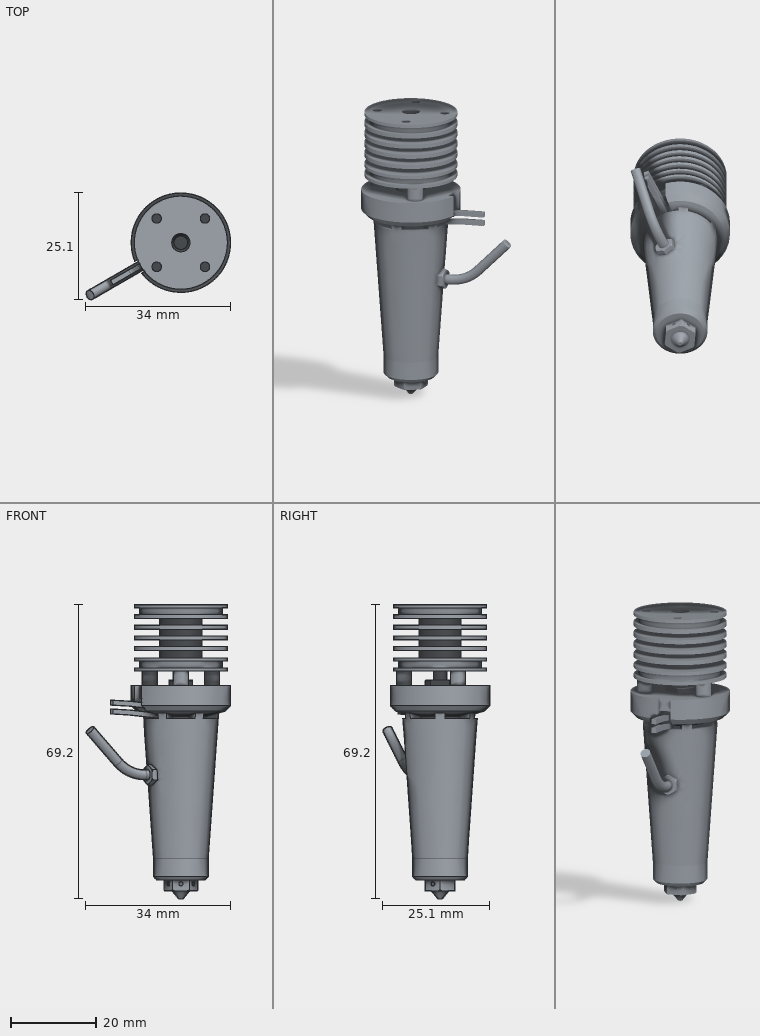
import cadquery as cq
import math

height = 69.25

tip_radius = 0.5
nozzle_cone_radius = 2.1
nozzle_hex_bottom = 1.95
nozzle_hex_corner_radius = 4.0
nozzle_hex_chamfer = 0.2
dimple_radius = 0.5
dimple_depth = 0.2
dimple_height = 3.6
dimple_angles = (210, 270, 330)

sleeve_bottom = 4.4
sleeve_chamfer = 0.8
sleeve_radius = 6.45
tube_bottom = 9.5
tube_top = 42.5
tube_top_radius = 8.8

neck_radius = 6.0
neck_top = 42.95
pillar_count = 6
pillar_width = 2.3

disc_radius = 11.7
disc_chamfer = 1.3
disc_cone_top = 44.2
disc_top = 50.3

side_angle = 210
notch_width = 3.25
notch_floor_radius = 10.1
recess_floor_radius = 7.3
recess_ceiling = 47.15

post_radius = 1.8
post_circle_radius = 8.45
post_angles = (30, 150, 270)
stem_radius = 1.6
collar_radius = 3.5
collar_height = 1.25
collar_chamfer = 0.2
collar_flat_distance = 2.8

fin_radius = 10.95
groove_radius = 9.75
core_radius = 5.0
fin_pitch = 2.5
fin_thickness = 1.0
fin_count = 3
flange_thickness = 3.3
flange_rim_thickness = 0.75
groove_width = flange_thickness - flange_rim_thickness - fin_thickness
sink_bottom = 53.6

bore_radius = 2.15
bore_depth = 1.3
bore_taper_depth = 5.55
mount_hole_radius = 1.1
mount_hole_spacing = 11.35

wire_size = 1.2
wire_spacing = 2.1
wire_tip_reach = 18.8
wire_bend_reach = 13.85
wire_root_reach = 5.9
wire_tip_height = 46.2
wire_outer_slope = 0.05
wire_inner_slope = 0.1

pipe_radius = 1.2
pipe_height = 29.2
pipe_bend_start = 9.9
pipe_bend_radius = 10.2
pipe_bend_angle = math.radians(45)
pipe_end_reach = 24.65
nut_corner_radius = 2.4
nut_face_reach = 9.0
nut_thickness = 3.45
nut_chamfer = 0.2


def cylinder(radius, bottom, top):
    return cq.Workplane("XY").workplane(offset=bottom).circle(radius).extrude(top - bottom)


def turned(points):
    """Solid of revolution about Z from (radius, height) points."""
    return cq.Workplane("XZ").polyline(points).close().revolve(360, (0, 0), (0, 1))


def box_along_x(start, end, width, bottom, top):
    size = (end - start, width, top - bottom)
    center = ((start + end) / 2, 0, (bottom + top) / 2)
    return cq.Workplane("XY").box(*size).translate(center)


def turn_z(shape, angle):
    return shape.rotate((0, 0, 0), (0, 0, 1), angle)


def hexagon(corner_radius):
    return cq.Workplane("XY").polygon(6, 2 * corner_radius)


def make_nozzle():
    tip = turned([
        (0, 0),
        (tip_radius, 0),
        (nozzle_cone_radius, nozzle_hex_bottom),
        (0, nozzle_hex_bottom),
    ])
    hex_length = sleeve_bottom - nozzle_hex_bottom
    block = hexagon(nozzle_hex_corner_radius).extrude(hex_length)
    block = block.translate((0, 0, nozzle_hex_bottom))
    corner_turning = cylinder(nozzle_hex_corner_radius, nozzle_hex_bottom, sleeve_bottom)
    block = block.intersect(corner_turning.faces("<Z").chamfer(nozzle_hex_chamfer))
    flat_distance = nozzle_hex_corner_radius * math.cos(math.pi / 6)
    for angle in dimple_angles:
        dimple = cq.Workplane("YZ", origin=(flat_distance - dimple_depth, 0, dimple_height))
        dimple = dimple.circle(dimple_radius).extrude(2 * dimple_depth)
        block = block.cut(turn_z(dimple, angle))
    return block.union(tip)


def make_body():
    """Sleeve, tapered tube, neck and clamp disc, with pillars around the neck."""
    body = turned([
        (0, sleeve_bottom),
        (sleeve_radius - sleeve_chamfer, sleeve_bottom),
        (sleeve_radius, sleeve_bottom + sleeve_chamfer),
        (sleeve_radius, tube_bottom),
        (tube_top_radius, tube_top),
        (neck_radius, tube_top),
        (neck_radius, neck_top),
        (disc_radius - disc_chamfer, disc_cone_top),
        (disc_radius, disc_cone_top + disc_chamfer),
        (disc_radius, disc_top),
        (0, disc_top),
    ])
    taper = (tube_top_radius - sleeve_radius) / (tube_top - tube_bottom)
    taper_end_radius = tube_top_radius + taper * (disc_cone_top - tube_top)
    taper_cone = turned([
        (0, tube_top),
        (tube_top_radius, tube_top),
        (taper_end_radius, disc_cone_top),
        (0, disc_cone_top),
    ])
    pillars = cq.Workplane("XY")
    for index in range(pillar_count):
        pillar = box_along_x(0, disc_radius, pillar_width, tube_top, disc_cone_top)
        pillars = pillars.union(turn_z(pillar, index * 360 / pillar_count))
    return body.union(pillars.intersect(taper_cone))


def make_notch():
    """Full-height notch, deeper below the recess ceiling."""
    outside = disc_radius + notch_width
    notch = box_along_x(notch_floor_radius, outside, notch_width, tube_top, disc_top)
    recess = box_along_x(recess_floor_radius, outside, notch_width, tube_top, recess_ceiling)
    return turn_z(notch.union(recess), side_angle)


def make_wire(tip_height):
    """Square wire, bent once, running from the side into the neck."""
    bend_height = tip_height - wire_outer_slope * (wire_tip_reach - wire_bend_reach)
    root_height = bend_height - wire_inner_slope * (wire_bend_reach - wire_root_reach)
    half = wire_size / 2
    path = [
        (wire_tip_reach, tip_height),
        (wire_bend_reach, bend_height),
        (wire_root_reach, root_height),
    ]
    upper = [(reach, level + half) for reach, level in path]
    lower = [(reach, level - half) for reach, level in reversed(path)]
    wire = cq.Workplane("XZ").polyline(upper + lower).close().extrude(half, both=True)
    return turn_z(wire, side_angle)


def make_pipe():
    """Pipe leaving the tube level, then bending upward."""
    bend_end = pipe_bend_start + pipe_bend_radius * math.sin(pipe_bend_angle)
    bend_rise = pipe_bend_radius * (1 - math.cos(pipe_bend_angle))
    bend_middle = (
        pipe_bend_start + pipe_bend_radius * math.sin(pipe_bend_angle / 2),
        pipe_height + pipe_bend_radius * (1 - math.cos(pipe_bend_angle / 2)),
    )
    end_rise = bend_rise + (pipe_end_reach - bend_end) * math.tan(pipe_bend_angle)
    pipe_start = nut_face_reach - nut_thickness
    path = (
        cq.Workplane("XZ")
        .moveTo(pipe_start, pipe_height)
        .lineTo(pipe_bend_start, pipe_height)
        .threePointArc(bend_middle, (bend_end, pipe_height + bend_rise))
        .lineTo(pipe_end_reach, pipe_height + end_rise)
    )
    section = cq.Workplane("YZ", origin=(pipe_start, 0, pipe_height)).circle(pipe_radius)
    return turn_z(section.sweep(path), side_angle)


def make_nut():
    """Hexagonal nut around the pipe with one corner pointing up."""
    nut = hexagon(nut_corner_radius).extrude(nut_thickness)
    turning = cylinder(nut_corner_radius, 0, nut_thickness).faces(">Z").chamfer(nut_chamfer)
    nut = nut.intersect(turning).rotate((0, 0, 0), (0, 1, 0), 90)
    nut = nut.translate((nut_face_reach - nut_thickness, 0, pipe_height))
    return turn_z(nut, side_angle)


def make_supports():
    """Three posts, the central stem and its collar with two flats."""
    supports = cylinder(stem_radius, disc_top, sink_bottom)
    collar_top = disc_top + collar_height
    flats = cq.Workplane("XY").box(2 * collar_flat_distance, 2 * collar_radius, 2 * collar_top)
    collar = cylinder(collar_radius, disc_top, collar_top).faces(">Z").chamfer(collar_chamfer)
    supports = supports.union(collar.intersect(flats))
    for angle in post_angles:
        post = cylinder(post_radius, disc_top, sink_bottom).translate((post_circle_radius, 0, 0))
        supports = supports.union(turn_z(post, angle))
    return supports


def make_flange(bottom, lower_rim, upper_rim):
    """Flange of the heat sink: two rims with a shallow groove between them."""
    top = bottom + lower_rim + groove_width + upper_rim
    return (
        cylinder(groove_radius, bottom, top)
        .union(cylinder(fin_radius, bottom, bottom + lower_rim))
        .union(cylinder(fin_radius, top - upper_rim, top))
    )


def make_heat_sink():
    upper_flange_bottom = height - flange_thickness
    sink = cylinder(core_radius, sink_bottom, height)
    sink = sink.union(make_flange(sink_bottom, flange_rim_thickness, flange_rim_thickness))
    sink = sink.union(make_flange(upper_flange_bottom, fin_thickness, flange_rim_thickness))
    for index in range(1, fin_count + 1):
        fin_bottom = upper_flange_bottom - index * fin_pitch
        sink = sink.union(cylinder(fin_radius, fin_bottom, fin_bottom + fin_thickness))
    return sink.cut(make_top_openings())


def make_top_openings():
    """Centre bore with a tapered seat, and four mounting holes through the upper flange."""
    bore = turned([
        (0, height),
        (bore_radius, height),
        (bore_radius, height - bore_depth),
        (stem_radius, height - bore_taper_depth),
        (0, height - bore_taper_depth),
    ])
    mount_holes = (
        cq.Workplane("XY")
        .workplane(offset=height - flange_thickness)
        .rect(mount_hole_spacing, mount_hole_spacing, forConstruction=True)
        .vertices()
        .circle(mount_hole_radius)
        .extrude(flange_thickness)
    )
    return bore.union(mount_holes)


result = make_body().cut(make_notch())
result = result.union(make_nozzle())
result = result.union(make_supports())
result = result.union(make_heat_sink())
result = result.union(make_nut())
result = result.union(make_pipe())
result = result.union(make_wire(wire_tip_height))
result = result.union(make_wire(wire_tip_height - wire_spacing))